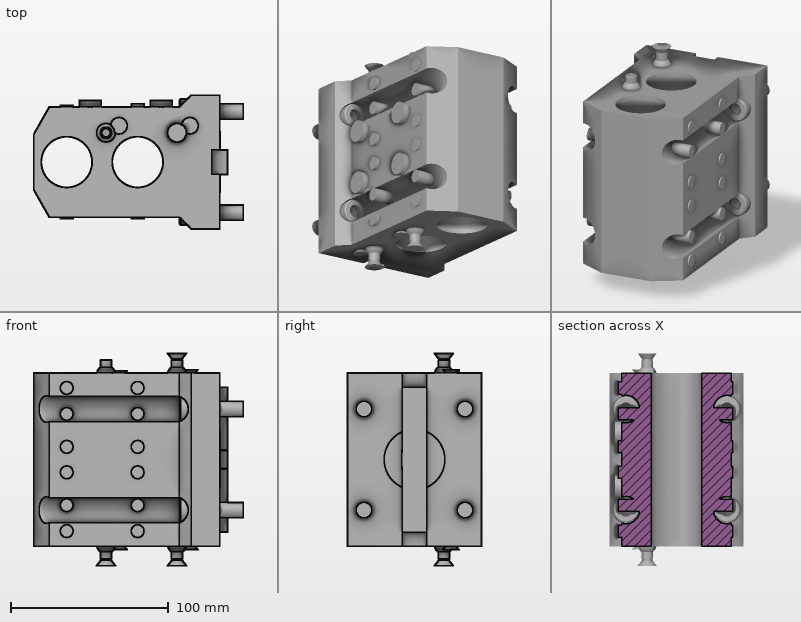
import cadquery as cq

block_length = 118.0
block_height = 110.0
flange_width = 85.0
body_width = 70.0
step_start_x = 92.5
nose_chamfer_length = 10.0
nose_chamfer_width = 17.5
overall_length = 133.0
overall_height = 134.6

station_pitch = 45.0
bore_x = 21.0
bore_radius = 16.0

screw_offset = 32.0
groove_radius = 8.5
screw_head_radius = 8.0
screw_head_length = 10.0
screw_head_chamfer = 0.8
screw_radius = 5.0
socket_radius = 4.2
socket_depth = 3.9
socket_point_length = 2.5

pin_radius = 4.0
pin_heights = (45.4, 29.0, 8.1)
pin_root_y = 22.9
pin_projection = 1.0
long_pin_projection = 2.0

cover_radius = 7.0
cover_x = 36.0
cover_z = 17.1
cover_projection = 4.0

nozzle_x = 45.9
nozzle_y = 18.6
ball_radius = 6.0
ball_drop = 1.3
neck_radius = 3.6
neck_height = 8.0
open_neck_height = 8.2
nozzle_hole_radius = 2.7
nozzle_hole_depth = 3.4
nozzle_rim_chamfer = 0.4
collar_radius = 3.4
flare_base_height = 8.9
flare_radius = 6.0

plug_x = 54.1
plug_y = 23.0
plug_radius = 5.3
plug_projection = 2.0
short_plug_projection = 1.3

key_length = 92.0
key_width = 15.3
key_projection = 5.0
key_depth = 5.0
boss_radius = 9.8
boss_flat_y = 8.1
boss_chamfer = 0.7
seal_radius = 19.3
seal_projection = 0.3

root_depth = 1.3

half_height = block_height / 2
half_body = body_width / 2
half_flange = flange_width / 2


def stations(first_x):
    return (first_x, first_x + station_pitch)


def rod_x(radius, start_x, end_x, y, z):
    return cq.Workplane("YZ", origin=(start_x, y, z)).circle(radius).extrude(end_x - start_x)


def rod_y(radius, start_y, end_y, x, z):
    return cq.Workplane("XZ", origin=(x, start_y, z)).circle(radius).extrude(start_y - end_y)


def box_along_x(start_x, end_x, start_y, end_y, height):
    """Box between the given X and Y limits, centred on Z = 0."""
    base = cq.Workplane("XY", origin=(0, 0, -height / 2))
    corners = [(start_x, start_y), (end_x, start_y), (end_x, end_y), (start_x, end_y)]
    return base.polyline(corners).close().extrude(height)


def make_block():
    step_end_x = step_start_x + half_flange - half_body
    nose_half_width = half_body - nose_chamfer_width
    side = [
        (0, nose_half_width),
        (nose_chamfer_length, half_body),
        (step_start_x, half_body),
        (step_end_x, half_flange),
        (block_length, half_flange),
    ]
    mirrored_side = [(x, -y) for x, y in reversed(side)]
    block = cq.Workplane("XY", origin=(0, 0, -half_height)).polyline(side + mirrored_side).close()
    block = block.extrude(block_height)
    bores = cq.Workplane("XY", origin=(0, 0, -half_height)).pushPoints([(x, 0) for x in stations(bore_x)])
    return block.cut(bores.circle(bore_radius).extrude(block_height))


def make_screw(y, z):
    """Screw along X: chamfered head, drilled socket with a conical end, and shank."""
    head_end_x = step_start_x + screw_head_length
    head = rod_x(screw_head_radius, step_start_x, head_end_x, y, z)
    head = head.faces("<X").edges().chamfer(screw_head_chamfer)
    socket_end_x = step_start_x + socket_depth
    socket = rod_x(socket_radius, step_start_x, socket_end_x, y, z)
    point = cq.Solid.makeCone(
        socket_radius, 0, socket_point_length, pnt=cq.Vector(socket_end_x, y, z), dir=cq.Vector(1, 0, 0)
    )
    shank = rod_x(screw_radius, head_end_x, overall_length, y, z)
    return head.cut(socket).cut(cq.Workplane(point)).union(shank)


def make_nozzle(x, flared):
    """Nozzle standing on the top face: ball, neck, then a flared head or an open end."""
    ball = cq.Workplane("XY").sphere(ball_radius).translate((0, 0, -ball_drop))
    if flared:
        flare_height = overall_height / 2 - half_height
        half_outline = [
            (0, 0),
            (neck_radius, 0),
            (neck_radius, neck_height),
            (collar_radius, neck_height),
            (collar_radius, flare_base_height),
            (flare_radius, flare_height),
            (0, flare_height),
        ]
        neck = cq.Workplane("XZ").polyline(half_outline).close().revolve(360, (0, 0), (0, 1))
    else:
        neck = cq.Workplane("XY").circle(neck_radius).extrude(open_neck_height)
        neck = neck.faces(">Z").edges().chamfer(nozzle_rim_chamfer)
        neck = neck.faces(">Z").workplane().circle(nozzle_hole_radius).cutBlind(-nozzle_hole_depth)
    return ball.union(neck).translate((x, nozzle_y, half_height))


def make_plug(x, projection):
    """Plug on the top face, widening upwards at 45 degrees."""
    height = projection + root_depth
    plug = cq.Solid.makeCone(plug_radius - height, plug_radius, height)
    return cq.Workplane(plug).translate((x, plug_y, half_height - root_depth))


def upside_down(part):
    return part.mirror("XY")


result = make_block()

groove_end_x = step_start_x + screw_head_length
for y in (-screw_offset, screw_offset):
    for z in (-screw_offset, screw_offset):
        result = result.cut(rod_x(groove_radius, 0, groove_end_x, y, z))
        result = result.union(make_screw(y, z))

for x, back_projection in zip(stations(bore_x), (pin_projection, long_pin_projection)):
    for height in pin_heights:
        for z in (-height, height):
            result = result.union(rod_y(pin_radius, -pin_root_y, -half_body - pin_projection, x, z))
            result = result.union(rod_y(pin_radius, pin_root_y, half_body + back_projection, x, z))

for x in stations(cover_x):
    for z in (-cover_z, cover_z):
        cover = rod_y(cover_radius, half_body - root_depth, half_body + cover_projection, x, z)
        result = result.union(cover)

first_nozzle_x, second_nozzle_x = stations(nozzle_x)
first_plug_x, second_plug_x = stations(plug_x)
result = result.union(make_plug(first_plug_x, short_plug_projection))
result = result.union(make_plug(second_plug_x, plug_projection))
result = result.union(make_nozzle(first_nozzle_x, False))
result = result.union(make_nozzle(second_nozzle_x, True))
for x in stations(plug_x):
    result = result.union(upside_down(make_plug(x, plug_projection)))
for x in stations(nozzle_x):
    result = result.union(upside_down(make_nozzle(x, True)))

key_start_x = block_length - key_depth
key_end_x = block_length + key_projection
result = result.cut(box_along_x(key_start_x, block_length, -key_width / 2, key_width / 2, block_height))
result = result.union(rod_x(seal_radius, block_length - root_depth, block_length + seal_projection, 0, 0))
result = result.union(box_along_x(key_start_x, key_end_x, -key_width / 2, key_width / 2, key_length))

boss = rod_x(boss_radius, key_start_x, key_end_x, 0, 0).faces(">X").edges().chamfer(boss_chamfer)
boss_limit = box_along_x(key_start_x, key_end_x, -boss_flat_y, 0, 2 * boss_radius)
result = result.union(boss.intersect(boss_limit))